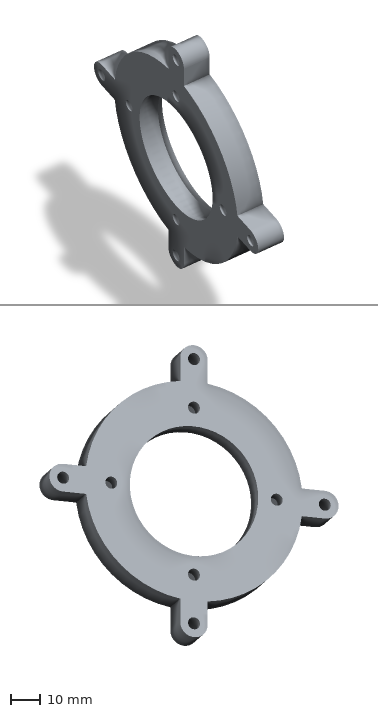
import cadquery as cq

span = 105.0
thickness = 10.5
ring_diameter = 79.0
bore_diameter = 46.6
recess_diameter = 51.0
recess_depth = 3.0
lug_width = 10.0
lug_hole_diameter = 4.3
blind_hole_diameter = 4.3
blind_hole_radius = 30.0
blind_hole_depth = 5.2

lug_hole_radius = (span - lug_width) / 2


def front_plane():
    """Sketch plane on the -Y face, with its normal pointing out of the part."""
    return cq.Workplane("XZ", origin=(0, -thickness / 2, 0))


def four_places(radius):
    """Points on the X and Z axes at the given distance from the centre."""
    return [(radius, 0), (0, radius), (-radius, 0), (0, -radius)]


def cut_cylinders(points, diameter, depth):
    """Cylinders that run from the -Y face into the part."""
    return front_plane().pushPoints(points).circle(diameter / 2).extrude(-depth)


body = front_plane().circle(ring_diameter / 2).extrude(-thickness)
for angle in (0, 90):
    body = body.union(front_plane().slot2D(span, lug_width, angle).extrude(-thickness))

bore = cut_cylinders([(0, 0)], bore_diameter, thickness)
rear_plane = cq.Workplane("XZ", origin=(0, thickness / 2, 0))
recess = rear_plane.circle(recess_diameter / 2).extrude(recess_depth)
lug_holes = cut_cylinders(four_places(lug_hole_radius), lug_hole_diameter, thickness)
blind_holes = cut_cylinders(four_places(blind_hole_radius), blind_hole_diameter, blind_hole_depth)

result = body.cut(bore).cut(recess).cut(lug_holes).cut(blind_holes)